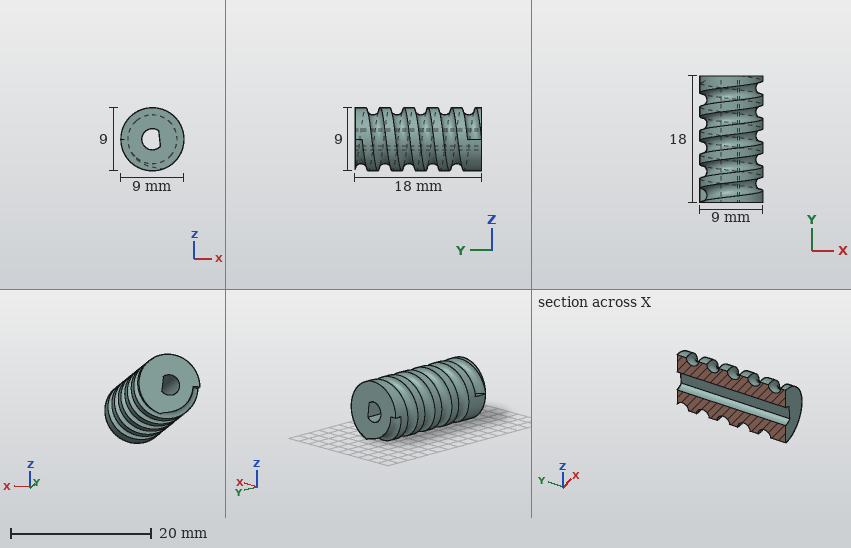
import cadquery as cq

shaft_radius = 4.5
shaft_length = 18.0
groove_radius = 1.0
groove_turns = 5
bore_radius = 1.5
bore_flat_distance = 1.0
bore_flat_tilt = 6.4

groove_pitch = (shaft_length - groove_radius) / groove_turns


def make_shaft():
    """Cylinder standing on the XY plane."""
    return cq.Workplane("XY").circle(shaft_radius).extrude(shaft_length)


def make_groove():
    """Round cutter swept along a helix on the shaft surface."""
    helix = cq.Wire.makeHelix(groove_pitch, groove_pitch * groove_turns, shaft_radius)
    profile_plane = cq.Plane(origin=(shaft_radius, 0, 0), xDir=(1, 0, 0), normal=(0, 1, 0))
    return (
        cq.Workplane(profile_plane)
        .circle(groove_radius)
        .sweep(cq.Workplane(obj=helix), isFrenet=True)
        .translate((0, 0, groove_radius))
    )


def make_bore():
    """D-shaped through bore with its flat on the +X side."""
    flat_block_width = bore_radius + bore_flat_distance
    flat_block = (
        cq.Workplane("XY")
        .box(flat_block_width, 2 * bore_radius, shaft_length, centered=(False, True, False))
        .translate((-bore_radius, 0, 0))
    )
    bore = cq.Workplane("XY").circle(bore_radius).extrude(shaft_length).intersect(flat_block)
    return bore.rotate((0, 0, 0), (0, 0, 1), -bore_flat_tilt)


def lay_along_y(body):
    """Turn the Z axis onto +Y, keeping X, and centre the length on the origin."""
    return body.rotate((0, 0, 0), (1, 0, 0), -90).translate((0, -shaft_length / 2, 0))


grooved_shaft = lay_along_y(make_shaft().cut(make_groove())).rotate((0, 0, 0), (0, 1, 0), 180)
bore = lay_along_y(make_bore())

result = grooved_shaft.cut(bore)